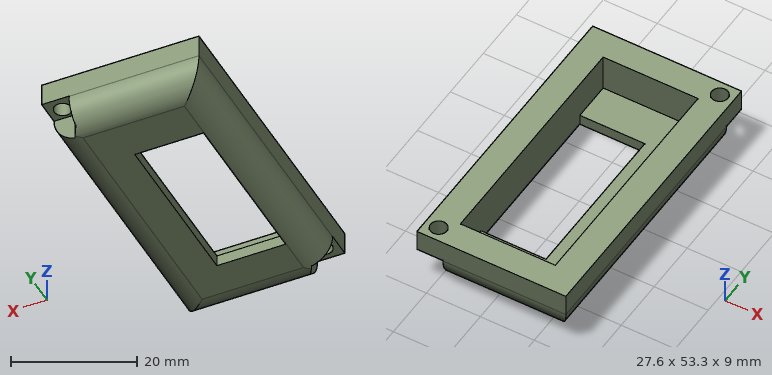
import cadquery as cq
import math

width = 27.6
length = 53.3
height = 9.0
flange_thickness = 4.05
base_height = height - flange_thickness
bottom_radius = 4.9

wall = 5.0
floor_thickness = 2.0
cavity_width = width - 2 * wall
cavity_length = length - 2 * wall

window_width = 12.05
window_length = 29.95
window_center_y = -0.4

hole_diameter = 3.0
hole_inset = wall / 2
nut_across_flats = 4.0


def make_body():
    body = cq.Workplane("XY").box(width, length, height, centered=(True, True, False))
    return body.faces("<Z").edges().fillet(bottom_radius)


def make_cavity():
    depth = height - floor_thickness
    cavity = cq.Workplane("XY").workplane(offset=floor_thickness)
    return cavity.rect(cavity_width, cavity_length).extrude(depth)


def make_window():
    center_x = (window_width - cavity_width) / 2
    window = cq.Workplane("XY").center(center_x, window_center_y)
    return window.rect(window_width, window_length).extrude(height)


def make_corner_cut():
    """Screw hole and half-hexagon nut recess, open to the -X and -Y sides."""
    hole_x = hole_inset - width / 2
    hole_y = hole_inset - length / 2
    apothem = nut_across_flats / 2
    nut_radius = nut_across_flats / math.sqrt(3)
    recess = (
        cq.Workplane("XY")
        .moveTo(-width / 2, -length / 2)
        .lineTo(hole_x + nut_radius, -length / 2)
        .lineTo(hole_x + nut_radius, hole_y)
        .lineTo(hole_x + nut_radius / 2, hole_y + apothem)
        .lineTo(-width / 2, hole_y + apothem)
        .close()
        .extrude(base_height)
    )
    hole = cq.Workplane("XY").center(hole_x, hole_y).circle(hole_diameter / 2).extrude(height)
    return recess.union(hole)


result = make_body().cut(make_cavity()).cut(make_window())
for angle in (0, 180):
    result = result.cut(make_corner_cut().rotate((0, 0, 0), (0, 0, 1), angle))